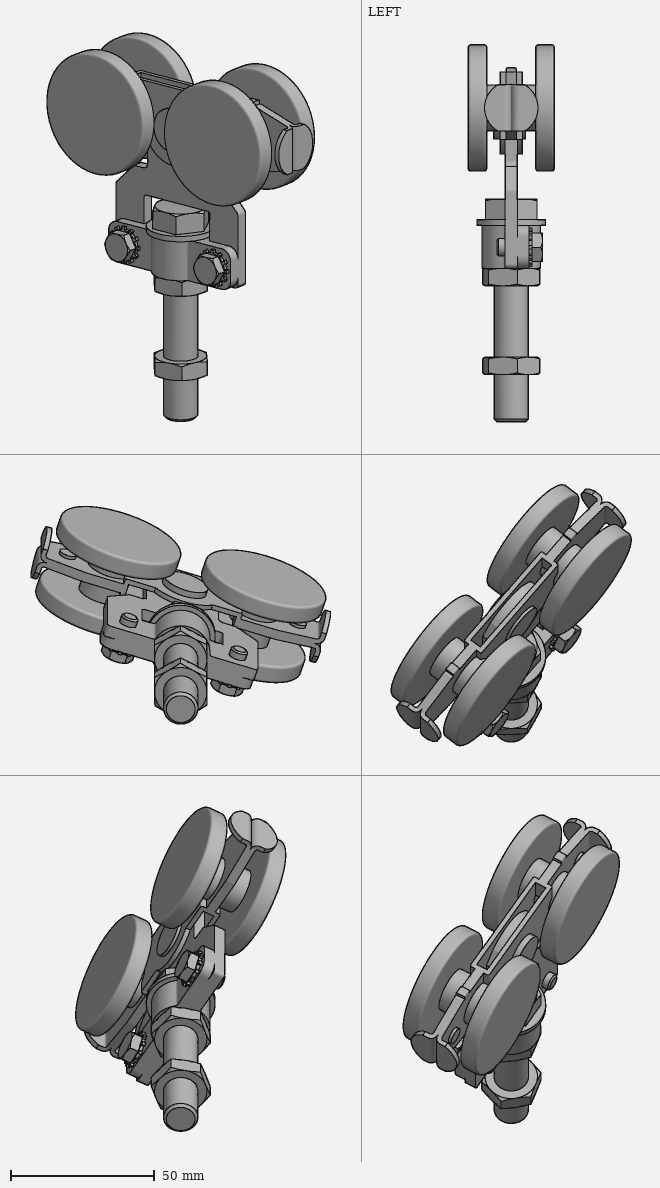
import cadquery as cq
import math


total_length = 103.6
outer_width = 30.0
total_height = 131.2

wheel_radius = 22.0
wheel_width = 6.5
wheel_rim_fillet = 1.0
axle_spacing = 53.0
axle_diameter = 16.0

sheet = 1.75
flange_bend_radius = 0.9
joggle_corner = 0.6
bracket_top = 12.5
arm_bottom = -11.0
arm_slope_end_x = 35.0
joggle_half_length = 21.4
bracket_round_radius = 13.2
flange_radius = 9.3
flange_half_height = 8.1
stop_x = 32.4
stop_length = 3.2
stop_top = 14.0
stop_root = 10.0
stop_fillet = 0.5
rivet_x = 42.0
rivet_diameter = 6.0
rivet_reach = 2.9

pivot_z = -2.9
pivot_head_diameter = 16.0
pivot_front_y = -5.0
pivot_back_y = 6.1

hanger_thickness = 4.2
hanger_half_width = 27.5
hanger_bottom = -55.8
hanger_corner = 1.5
neck_half_width = 13.2
head_shoulder_z = 3.0
head_chamfer = 4.4
head_crown = 2.5
shoulder_z = -20.4
shoulder_half_width = 19.5
notch_fillet = 2.0
slope_fillet = 2.0
window_half_width = 14.8
window_top = -30.2
window_fillet = 1.0

clamp_top = -40.9
clamp_thickness = 4.0
clamp_corner = 4.0
barrel_radius = 10.2
barrel_fillet = 1.0

screw_x = 20.0
screw_z = -48.5
screw_diameter = 6.0
screw_head_flats = 10.0
screw_head_height = 3.6
screw_back_y = 5.0
screw_end_chamfer = 0.6
lock_washer_thickness = 1.2
lock_washer_diameter = 11.4
lock_washer_tooth_diameter = 13.4
lock_washer_tooth_width = 1.2
lock_washer_teeth = 12

bolt_diameter = 12.0
bolt_head_flats = 18.0
bolt_head_height = 7.2
bolt_end_z = wheel_radius - total_height
bolt_end_chamfer = 1.0
washer_diameter = 24.0
washer_thickness = 2.0
nut_flats = 18.2
nut_height = 6.1
nut_turn = 11.5
lower_nut_top = -86.7
hex_bevel = 0.6

axle_x = axle_spacing / 2
half_length = total_length / 2
half_gap = hanger_thickness / 2
front_face_y = -half_gap - clamp_thickness


def box(x_range, y_range, z_range):
    """Box given by its limits along each axis."""
    size = [high - low for low, high in (x_range, y_range, z_range)]
    return cq.Workplane().box(*size, centered=False).translate((x_range[0], y_range[0], z_range[0]))


def cylinder_y(diameter, x, z, y_from, y_to):
    """Cylinder along Y."""
    plane = cq.Workplane("XZ", origin=(x, y_from, z))
    return plane.circle(diameter / 2).extrude(y_from - y_to)


def disc_z(diameter, z_from, z_to):
    """Cylinder on the bolt axis."""
    return cq.Workplane(origin=(0, 0, z_from)).circle(diameter / 2).extrude(z_to - z_from)


def hexagon(flats, height, turn=0.0, bevel_bottom=True):
    """Hexagonal block with conically bevelled corners, standing on Z = 0."""
    corner_radius = flats / math.sqrt(3)
    block = cq.Workplane().polygon(6, 2 * corner_radius).extrude(height)
    block = block.rotate((0, 0, 0), (0, 0, 1), turn)
    ends = ">Z or <Z" if bevel_bottom else ">Z"
    cone = cq.Workplane().circle(corner_radius).extrude(height)
    cone = cone.faces(ends).edges().chamfer(hex_bevel, corner_radius - flats / 2)
    return block.intersect(cone)


def wheel_pair(x):
    """Two wheels on one axle."""
    inner_y = outer_width / 2 - wheel_width
    body = cylinder_y(axle_diameter, x, 0, -inner_y, inner_y)
    for y_from in (-outer_width / 2, inner_y):
        wheel = cylinder_y(2 * wheel_radius, x, 0, y_from, y_from + wheel_width)
        body = body.union(wheel.edges().fillet(wheel_rim_fillet))
    return body


def bracket_sheet():
    """Bracket sheet on the +Y side: flanged ends, flat arms and a joggle over the hanger plate."""
    flange_inner = half_length - sheet
    joggle_inner = joggle_half_length - sheet
    joggle_outer_y = half_gap + sheet
    right_side = [
        (joggle_inner, half_gap),
        (joggle_inner, 0),
        (half_length, 0),
        (half_length, flange_radius),
        (flange_inner, flange_radius),
        (flange_inner, sheet),
        (joggle_half_length, sheet),
        (joggle_half_length, joggle_outer_y),
    ]
    left_side = [(-x, y) for x, y in reversed(right_side)]
    strip_depth = bracket_round_radius + bracket_top - pivot_z
    section = cq.Workplane(origin=(0, 0, bracket_top)).polyline(right_side + left_side).close()
    strip = section.extrude(-strip_depth)
    middle_z = bracket_top - strip_depth / 2
    for side in (-1, 1):
        for x, y, radius in (
            (half_length, 0, flange_bend_radius + sheet),
            (flange_inner, sheet, flange_bend_radius),
            (joggle_half_length, joggle_outer_y, joggle_corner),
        ):
            corner = cq.selectors.NearestToPointSelector((side * x, y, middle_z))
            strip = strip.edges(corner).fillet(radius)
    return strip.intersect(bracket_outline())


def bracket_outline():
    """Block bounding the bracket: its XZ outline, cut to round flanges at both ends."""
    flange_x = half_length - sheet
    points = [
        (-half_length, -flange_half_height),
        (-flange_x, -flange_half_height),
        (-arm_slope_end_x, arm_bottom),
        (arm_slope_end_x, arm_bottom),
        (flange_x, -flange_half_height),
        (half_length, -flange_half_height),
        (half_length, flange_half_height),
        (flange_x, flange_half_height),
        (arm_slope_end_x, bracket_top),
        (-arm_slope_end_x, bracket_top),
        (-flange_x, flange_half_height),
        (-half_length, flange_half_height),
    ]
    outline = cq.Workplane("XZ").polyline(points).close().extrude(flange_radius, both=True)
    outline = outline.union(cylinder_y(2 * bracket_round_radius, 0, pivot_z, -flange_radius, flange_radius))
    flange_rounding = cq.Workplane("YZ").circle(flange_radius).extrude(half_length, both=True)
    reach = 2 * flange_radius
    middle = box((-flange_x, flange_x), (-reach, reach), (-reach, reach))
    return outline.intersect(flange_rounding.union(middle))


def bracket():
    """Both bracket sheets, with top stops and rivets on the arms."""
    sheet_back = bracket_sheet()
    body = sheet_back.union(sheet_back.mirror("XZ"))
    for x in (-stop_x, stop_x):
        x_range = (x - stop_length / 2, x + stop_length / 2)
        stop = box(x_range, (-sheet, sheet), (stop_root, stop_top))
        body = body.union(stop.faces(">Z").edges("|X").fillet(stop_fillet))
    for x in (-rivet_x, rivet_x):
        body = body.union(cylinder_y(rivet_diameter, x, 0, 0, rivet_reach))
    return body


def hanger_plate():
    """Flat plate hung on the pivot pin, with a window for the bolt head."""
    crown_half_width = neck_half_width - head_chamfer
    crown_z = head_shoulder_z + head_chamfer
    slope_end_z = shoulder_z - (hanger_half_width - shoulder_half_width)
    plate = (
        cq.Workplane("XZ")
        .moveTo(-crown_half_width, crown_z)
        .threePointArc((0, crown_z + head_crown), (crown_half_width, crown_z))
        .lineTo(neck_half_width, head_shoulder_z)
        .lineTo(neck_half_width, shoulder_z)
        .lineTo(shoulder_half_width, shoulder_z)
        .lineTo(hanger_half_width, slope_end_z)
        .lineTo(hanger_half_width, hanger_bottom)
        .lineTo(-hanger_half_width, hanger_bottom)
        .lineTo(-hanger_half_width, slope_end_z)
        .lineTo(-shoulder_half_width, shoulder_z)
        .lineTo(-neck_half_width, shoulder_z)
        .lineTo(-neck_half_width, head_shoulder_z)
        .close()
        .extrude(half_gap, both=True)
    )
    for side in (-1, 1):
        neck_root = cq.selectors.NearestToPointSelector((side * neck_half_width, 0, shoulder_z))
        plate = plate.edges(neck_root).fillet(notch_fillet)
        slope_end = cq.selectors.NearestToPointSelector((side * hanger_half_width, 0, slope_end_z))
        plate = plate.edges(slope_end).fillet(slope_fillet)
    plate = plate.edges("|Y and <Z").edges("<X or >X").fillet(hanger_corner)
    window = box((-window_half_width, window_half_width), (-half_gap, half_gap), (hanger_bottom, window_top))
    return plate.cut(window.edges("|Y and >Z").fillet(window_fillet))


def clamp():
    """Clamp bar in front of the hanger plate with a barrel around the bolt."""
    bar = box((-hanger_half_width, hanger_half_width), (front_face_y, -half_gap), (hanger_bottom, clamp_top))
    bar = bar.edges("|Y").fillet(clamp_corner)
    filler = box((-window_half_width, window_half_width), (-half_gap, half_gap), (hanger_bottom, clamp_top))
    body = bar.union(filler).union(disc_z(2 * barrel_radius, hanger_bottom, clamp_top))
    middle_z = (hanger_bottom + clamp_top) / 2
    for face_y in (front_face_y, half_gap):
        junction_x = math.sqrt(barrel_radius**2 - face_y**2)
        for side in (-1, 1):
            junction = cq.selectors.NearestToPointSelector((side * junction_x, face_y, middle_z))
            body = body.edges(junction).fillet(barrel_fillet)
    return body


def clamp_screw(x):
    """Hexagon screw through clamp and hanger plate, with a toothed lock washer under its head."""
    shank = cylinder_y(screw_diameter, x, screw_z, front_face_y, screw_back_y)
    shank = shank.faces(">Y").edges().chamfer(screw_end_chamfer)
    seat_y = front_face_y - lock_washer_thickness
    washer = cylinder_y(lock_washer_diameter, x, screw_z, seat_y, front_face_y)
    tooth_reach = lock_washer_tooth_diameter / 2
    for index in range(lock_washer_teeth):
        tooth = box(
            (0, tooth_reach),
            (seat_y, front_face_y),
            (-lock_washer_tooth_width / 2, lock_washer_tooth_width / 2),
        )
        tooth = tooth.rotate((0, 0, 0), (0, 1, 0), index * 360 / lock_washer_teeth)
        washer = washer.union(tooth.translate((x, 0, screw_z)))
    head = hexagon(screw_head_flats, screw_head_height, bevel_bottom=False)
    head = head.rotate((0, 0, 0), (1, 0, 0), 90).translate((x, seat_y, screw_z))
    return shank.union(washer).union(head)


def pendant_bolt():
    """Hanging bolt with washer, clamping nut and free lower nut."""
    seat_z = clamp_top + washer_thickness
    rod = disc_z(bolt_diameter, bolt_end_z, seat_z).faces("<Z").edges().chamfer(bolt_end_chamfer)
    head = hexagon(bolt_head_flats, bolt_head_height, bevel_bottom=False)
    body = rod.union(head.translate((0, 0, seat_z)))
    body = body.union(disc_z(washer_diameter, clamp_top, seat_z))
    nut = hexagon(nut_flats, nut_height, nut_turn)
    for nut_top in (hanger_bottom, lower_nut_top):
        body = body.union(nut.translate((0, 0, nut_top - nut_height)))
    return body


result = bracket().union(hanger_plate()).union(clamp()).union(pendant_bolt())
result = result.union(cylinder_y(pivot_head_diameter, 0, pivot_z, pivot_front_y, pivot_back_y))
for side in (-1, 1):
    result = result.union(wheel_pair(side * axle_x))
    result = result.union(clamp_screw(side * screw_x))